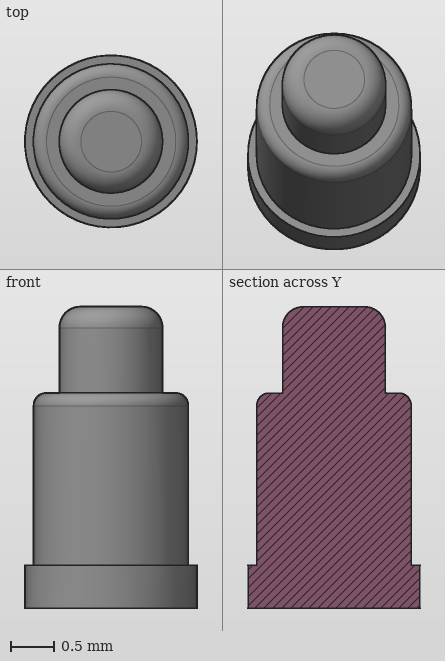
import cadquery as cq

total_height = 3.5
flange_diameter = 2.0
flange_height = 0.5
barrel_diameter = 1.8
barrel_top = 2.5
barrel_fillet = 0.15
plunger_diameter = 1.2
plunger_fillet = 0.25


def cylinder(diameter, bottom, top):
    """Upright cylinder on the Z axis between two heights."""
    return cq.Workplane("XY").workplane(offset=bottom).circle(diameter / 2).extrude(top - bottom)


flange = cylinder(flange_diameter, 0, flange_height)

barrel = cylinder(barrel_diameter, flange_height, barrel_top).faces(">Z").edges().fillet(barrel_fillet)

plunger = cylinder(plunger_diameter, barrel_top, total_height).faces(">Z").edges().fillet(plunger_fillet)

result = flange.union(barrel).union(plunger)